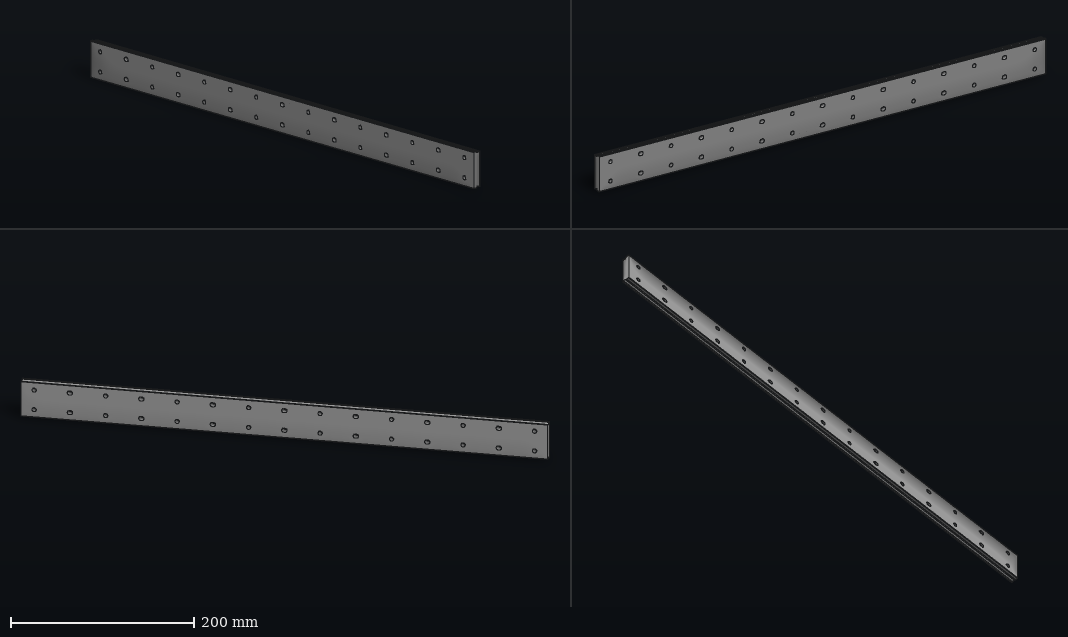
import cadquery as cq
import math

length = 590.0
thickness = 9.5
height = 42.0

front_chamfer = 0.5
groove_offset = 3.25
groove_wall_width = 2.5
groove_wall_angle = 52
groove_depth = 1.65
back_land_width = 2.0
back_land_drop = 0.8

column_count = 15
end_margin = 15.0
row_spacing = 23.0
hole_diameter = 4.5
slot_length = 6.0

front = -thickness / 2
back = thickness / 2
top = height / 2
column_pitch = (length - 2 * end_margin) / (column_count - 1)


def bar():
    """Extrude the upper half of the cross-section along X and mirror it below."""
    groove_start = front + groove_offset
    groove_bottom = groove_start + groove_wall_width
    back_land = top - back_land_drop

    chord = math.hypot(groove_wall_width, groove_depth)
    chord_angle = math.atan2(groove_depth, groove_wall_width)
    half_arc_angle = math.radians(groove_wall_angle) - chord_angle
    wall_sagitta = chord / 2 * math.tan(half_arc_angle / 2)

    upper_half = (
        cq.Workplane("YZ", origin=(-length / 2, 0, 0))
        .moveTo(front, 0)
        .lineTo(front, top - front_chamfer)
        .lineTo(front + front_chamfer, top)
        .lineTo(groove_start, top)
        .sagittaArc((groove_bottom, top - groove_depth), wall_sagitta)
        .lineTo(back - back_land_width, back_land)
        .lineTo(back, back_land)
        .lineTo(back, 0)
        .close()
        .extrude(length)
    )
    return upper_half.union(upper_half.mirror("XY")).clean()


def hole_points(first_column):
    """Hole centres in both rows of every second column."""
    first_x = -length / 2 + end_margin
    return [
        (first_x + column * column_pitch, side * row_spacing / 2)
        for column in range(first_column, column_count, 2)
        for side in (-1, 1)
    ]


def on_back_face():
    """Workplane on the back face; extruding from it runs toward the front."""
    return cq.Workplane("XZ", origin=(0, back, 0))


def round_holes():
    return on_back_face().pushPoints(hole_points(0)).circle(hole_diameter / 2).extrude(thickness)


def slots():
    """Slots that lie along the bar."""
    return on_back_face().pushPoints(hole_points(1)).slot2D(slot_length, hole_diameter).extrude(thickness)


result = bar().cut(round_holes()).cut(slots())